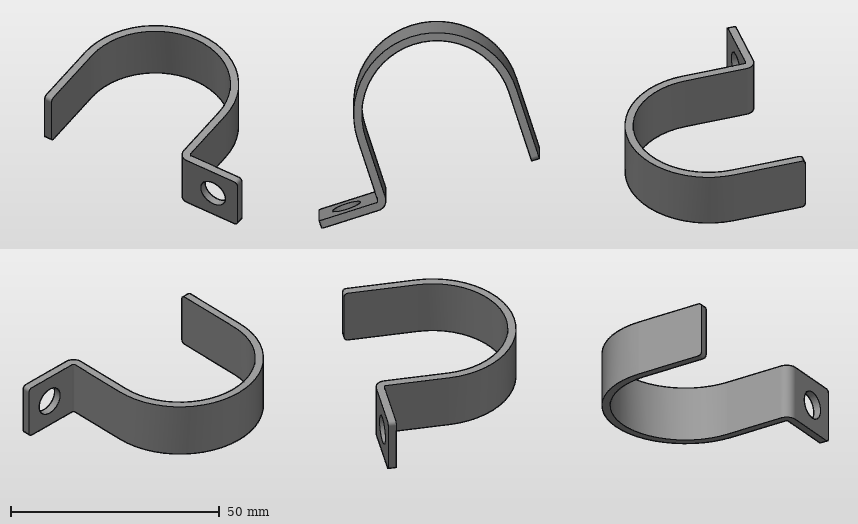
import cadquery as cq

length = 55.0
width = 14.0
thickness = 2.0
outer_radius = 20.0
leg_length = 18.0

bend_inner_radius = 0.5
bend_outer_radius = bend_inner_radius + thickness

hole_diameter = 7.0
hole_to_end = 7.0
corner_radius = 1.0

inner_radius = outer_radius - thickness
foot_y = -leg_length
flange_end_x = length - outer_radius


def bent_strip():
    """Arch with two straight legs, the right one turning out into a flange."""
    profile = (
        cq.Workplane("XY")
        .moveTo(-outer_radius, foot_y)
        .lineTo(-outer_radius, 0)
        .threePointArc((0, outer_radius), (outer_radius, 0))
        .lineTo(outer_radius, foot_y + thickness + bend_inner_radius)
        .radiusArc((outer_radius + bend_inner_radius, foot_y + thickness), -bend_inner_radius)
        .lineTo(flange_end_x, foot_y + thickness)
        .lineTo(flange_end_x, foot_y)
        .lineTo(inner_radius + bend_outer_radius, foot_y)
        .radiusArc((inner_radius, foot_y + bend_outer_radius), bend_outer_radius)
        .lineTo(inner_radius, 0)
        .threePointArc((0, inner_radius), (-inner_radius, 0))
        .lineTo(-inner_radius, foot_y)
        .close()
    )
    return profile.extrude(width / 2, both=True)


def flange_hole():
    """Round cutter through the flange thickness, centred across the width."""
    return (
        cq.Workplane("XZ", origin=(flange_end_x - hole_to_end, foot_y + thickness, 0))
        .circle(hole_diameter / 2)
        .extrude(thickness)
    )


strip = bent_strip()
strip = strip.faces(">X").edges("|Y").fillet(corner_radius)
free_end = cq.selectors.NearestToPointSelector((-outer_radius + thickness / 2, foot_y, 0))
strip = strip.faces(free_end).edges("|X").fillet(corner_radius)

result = strip.cut(flange_hole())